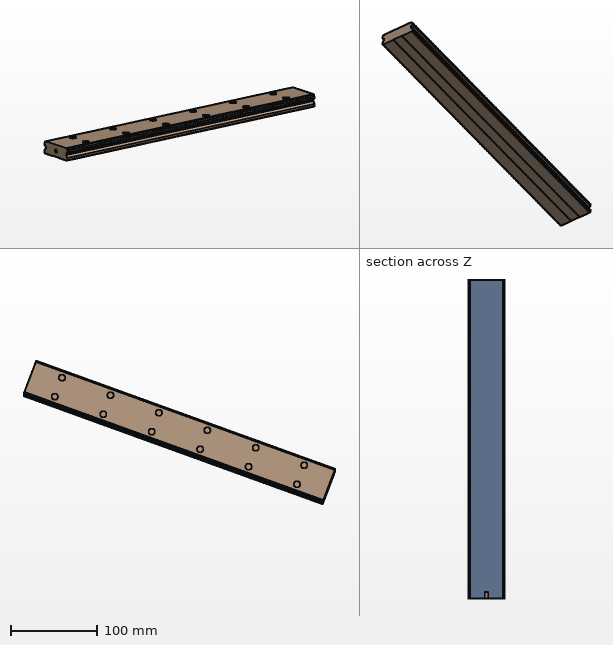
import cadquery as cq

length = 370.0
width = 42.0
height = 15.0

bottom_chamfer = 1.0
lower_land_top = 3.7
lower_lip_depth = 0.5
lower_lip_height = 0.7
groove_depth = 2.2
groove_bottom = 6.5
groove_top = 8.5
upper_land_bottom = 10.5
upper_lip_depth = 1.0
upper_lip_height = 1.0
shoulder_bottom = 12.5
shoulder_depth = 0.92
edge_break_depth = 2.05
edge_break_height = 0.7

relief_width = 12.0
relief_depth = 0.5

recess_diameter = 7.5
recess_depth = 0.5
recess_pitch = 60.0
row_spacing = 24.0
row_count = 2
recesses_per_row = 6

end_hole_diameter = 3.7
end_hole_height = 7.5
end_hole_depth = 7.5


def rail_body():
    """Extrude the grooved cross-section along Y, centred on the XZ plane."""
    half_width = width / 2
    right_side = [
        (half_width - bottom_chamfer, 0),
        (half_width, bottom_chamfer),
        (half_width, lower_land_top),
        (half_width - lower_lip_depth, lower_land_top + lower_lip_height),
        (half_width - groove_depth, groove_bottom),
        (half_width - groove_depth, groove_top),
        (half_width - upper_lip_depth, upper_land_bottom - upper_lip_height),
        (half_width, upper_land_bottom),
        (half_width, shoulder_bottom),
        (half_width - shoulder_depth, height - edge_break_height),
        (half_width - edge_break_depth, height),
    ]
    left_side = [(-x, z) for x, z in reversed(right_side)]
    profile = cq.Workplane("XZ").polyline(right_side + left_side).close()
    return profile.extrude(length / 2, both=True)


def underside_relief():
    """Full-length shallow channel in the underside."""
    return cq.Workplane("XY").box(relief_width, length, relief_depth, centered=(True, True, False))


def mounting_recesses():
    """Shallow round recesses, in two rows along the rail."""
    return (
        cq.Workplane("XY", origin=(0, 0, height))
        .rarray(row_spacing, recess_pitch, row_count, recesses_per_row)
        .circle(recess_diameter / 2)
        .extrude(-recess_depth)
    )


def end_hole():
    """Blind hole running inward along +Y from the front end face."""
    return (
        cq.Workplane("XZ", origin=(0, -length / 2, end_hole_height))
        .circle(end_hole_diameter / 2)
        .extrude(-end_hole_depth)
    )


result = rail_body().cut(underside_relief()).cut(mounting_recesses()).cut(end_hole())